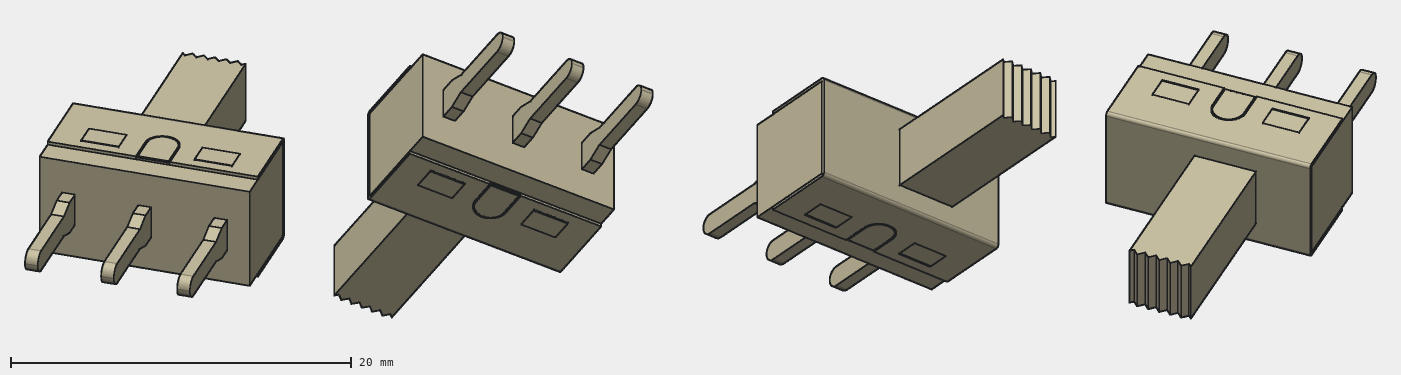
import cadquery as cq


total_length = 23.3
body_width = 13.0
body_height = 6.8
pin_length = 6.92

sheet = 0.2
cover_back = 6.38
cover_edge = 1.5
bend_radius = 0.2

base_back = cover_back - sheet
base_height = body_height - 2 * sheet

latch_width = 2.33
latch_length = 1.51
latch_spacing = 7.01
latch_edge = 2.2
latch_bevel = 0.07

key_width = 2.07
key_length = 2.8
rim_step = 0.07

pin_count = 3
pin_pitch = 4.7
pin_thickness = 0.8
root_height = 2.05
root_length = 1.0
taper_end = 2.05
blade_height = 1.33
tip_radius = 0.65

tooth_count = 5
tooth_pitch = 0.7
tooth_depth = tooth_pitch / 2
side_tooth = 0.2
handle_width = tooth_count * tooth_pitch + 2 * side_tooth
handle_height = 3.87
handle_offset = -1.1
handle_end = total_length - pin_length


def block(width, y_start, y_end, height):
    """A box centred on X and Z between two Y positions."""
    return (
        cq.Workplane("XY")
        .box(width, y_end - y_start, height, centered=(True, False, True))
        .translate((0, y_start, 0))
    )


def make_latches():
    """Both pairs of latches, running through the full height of the body."""
    latch = block(latch_width, latch_edge, latch_edge + latch_length, body_height)
    latch = latch.faces("<Y").edges("|X").chamfer(latch_bevel)
    left = latch.translate((-latch_spacing / 2, 0, 0))
    right = latch.translate((latch_spacing / 2, 0, 0))
    return left.union(right)


def round_ended_block(inset, height):
    """A block with one round end, its outline drawn in from the notch by the inset."""
    half_width = key_width / 2 - inset
    flat_end = cover_edge + inset
    round_end = cover_edge + key_length - inset
    arc_start = round_end - half_width
    return (
        cq.Workplane("XY")
        .workplane(offset=-height / 2)
        .moveTo(-half_width, flat_end)
        .lineTo(half_width, flat_end)
        .lineTo(half_width, arc_start)
        .threePointArc((0, round_end), (-half_width, arc_start))
        .close()
        .extrude(height)
    )


def make_keys():
    """Both keys as one block through the full height, with a small step round each rim."""
    stepped_height = body_height - 2 * rim_step
    return round_ended_block(0, stepped_height).union(round_ended_block(rim_step, body_height))


def make_pin():
    """A flat pin that tapers from its root to a round-ended blade."""
    root = root_height / 2
    blade = blade_height / 2
    return (
        cq.Workplane("YZ")
        .workplane(offset=-pin_thickness / 2)
        .moveTo(0, root)
        .lineTo(-root_length, root)
        .lineTo(-taper_end, blade)
        .lineTo(-pin_length, blade)
        .lineTo(-pin_length, -blade)
        .lineTo(-taper_end, -blade)
        .lineTo(-root_length, -root)
        .lineTo(0, -root)
        .close()
        .extrude(pin_thickness)
        .faces("<Y")
        .edges("|X")
        .fillet(tip_radius)
    )


def make_base():
    """The moulded block with its latches, keys and pins."""
    base = block(body_width, 0, base_back, base_height)
    base = base.union(make_latches()).union(make_keys())
    for index in range(pin_count):
        pin_x = (index - (pin_count - 1) / 2) * pin_pitch
        base = base.union(make_pin().translate((pin_x, 0, 0)))
    return base


def make_cover():
    """The sheet folded round the base, with windows, notches and a hole for the handle."""
    cover = block(body_width, cover_edge, cover_back, body_height)
    cover = cover.faces(">Y").edges("|X").fillet(bend_radius)
    cover = cover.cut(block(body_width, 0, base_back, base_height))
    window = block(latch_width, latch_edge, latch_edge + latch_length, body_height)
    for side in (-1, 1):
        cover = cover.cut(window.translate((side * latch_spacing / 2, 0, 0)))
    cover = cover.cut(round_ended_block(0, body_height))
    handle_hole = block(handle_width, base_back, cover_back, handle_height)
    return cover.cut(handle_hole.translate((handle_offset, 0, 0)))


def make_handle():
    """The handle, standing on the base, with V-grooves across its free end."""
    half_width = handle_width / 2
    valley_y = handle_end - tooth_depth
    first_valley = -half_width + side_tooth
    outline = [
        (half_width, base_back),
        (-half_width, base_back),
        (-half_width, valley_y + side_tooth),
        (first_valley, valley_y),
    ]
    for tooth in range(tooth_count):
        valley_x = first_valley + tooth * tooth_pitch
        outline.append((valley_x + tooth_pitch / 2, handle_end))
        outline.append((valley_x + tooth_pitch, valley_y))
    outline.append((half_width, valley_y + side_tooth))
    return (
        cq.Workplane("XY")
        .workplane(offset=-handle_height / 2)
        .polyline(outline)
        .close()
        .extrude(handle_height)
        .translate((handle_offset, 0, 0))
    )


base = make_base()
cover = make_cover()
handle = make_handle()

result = cq.Compound.makeCompound([base.val(), cover.val(), handle.val()])